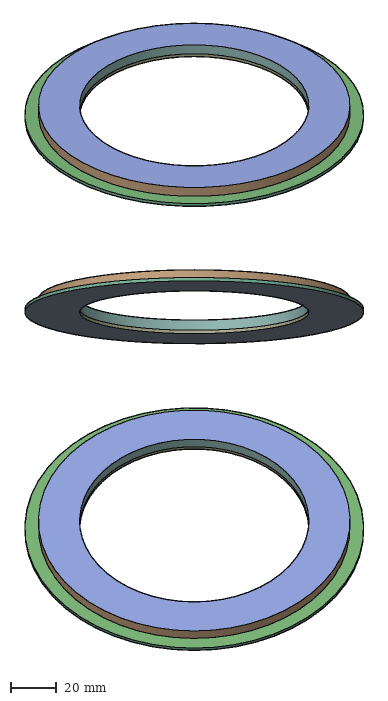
import cadquery as cq

flange_diameter = 148.0
collar_diameter = 136.0
bore_diameter = 100.0
total_height = 6.0
flange_thickness = 1.5

collar_height = total_height - flange_thickness


def make_ring(outer_diameter, thickness, base_z):
    """Flat ring around the Z axis, with the shared bore, standing on base_z."""
    return (
        cq.Workplane("XY")
        .workplane(offset=base_z)
        .circle(outer_diameter / 2)
        .circle(bore_diameter / 2)
        .extrude(thickness)
    )


flange = make_ring(flange_diameter, flange_thickness, 0)

collar = make_ring(collar_diameter, collar_height, flange_thickness)

result = cq.Compound.makeCompound([flange.val(), collar.val()])